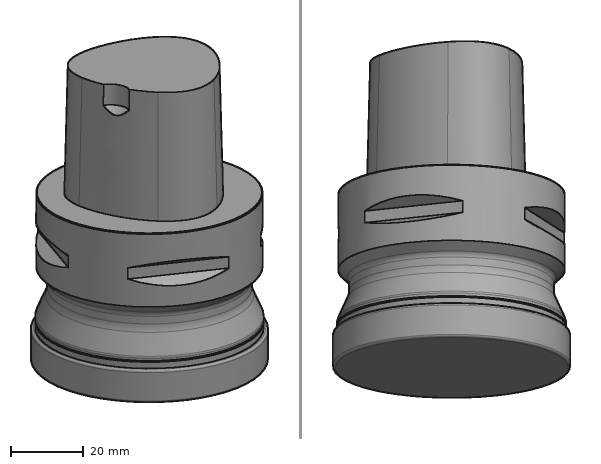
import cadquery as cq
import math

TOTAL_HEIGHT = 88.0
FLANGE_TOP_Z = 50.0

RING_RADIUS = 33.0
RING_HEIGHT = 9.9
RING_FILLET = 0.7

FLANGE_RADIUS = 63.0 / 2
NECK_RADIUS = 57.0 / 2
COLLAR_RADIUS = 63.6 / 2
FLANGE_EDGE_CHAMFER = 0.3
FLANGE_BOTTOM_Z = 28.1
UPPER_CONE_ANGLE = math.radians(45)
UPPER_NECK_ARC = 2.2
LOWER_NECK_ARC = 5.7
NECK_BOTTOM_Z = 21.9
COLLAR_TOP_Z = 12.9
COLLAR_SHOULDER_ARC = 1.4
GROOVE_TOP_Z = 12.1
GROOVE_WIDTH = 0.31
GROOVE_RADIUS = FLANGE_RADIUS

SHANK_BASE_RADIUS = 22.1
SHANK_TAPER = 1 / 40
LOBE_OFFSET = 1.6
LOBE_COUNT = 3
SPLINE_STEPS = 8

NOTCH_RADIUS = 5.4
NOTCH_AXIS_Y = -23.0
NOTCH_DEPTH = 6.2

SLOT_COUNT = 4
SLOT_FIRST_ANGLE = 45
SLOT_Z = 37.8
SLOT_FLOOR_DISTANCE = 27.9
SLOT_FLOOR_HALF_HEIGHT = 1.7
SLOT_WALL_ANGLE = math.radians(30)
SLOT_OVERCUT = 0.9


def make_base_ring():
    ring = cq.Workplane("XY").circle(RING_RADIUS).extrude(RING_HEIGHT)
    return ring.edges().fillet(RING_FILLET)


def arc_point(cylinder_radius, cylinder_end_z, arc_radius, angle, direction):
    """Point on an arc that leaves a cylinder tangentially, after turning by angle.

    A negative arc radius curves in toward the axis and swaps the direction along Z.
    """
    radius = cylinder_radius + arc_radius * (1 - math.cos(angle))
    return radius, cylinder_end_z + direction * arc_radius * math.sin(angle)


def make_turned_body():
    """Flange, waisted neck and grooved collar, turned about Z."""
    upper_cone_start_radius, _ = arc_point(NECK_RADIUS, 0, UPPER_NECK_ARC, UPPER_CONE_ANGLE, 1)
    upper_cone_height = (FLANGE_RADIUS - upper_cone_start_radius) / math.tan(UPPER_CONE_ANGLE)
    neck_top_z = FLANGE_BOTTOM_Z - upper_cone_height - UPPER_NECK_ARC * math.sin(UPPER_CONE_ANGLE)

    centre_rise = NECK_BOTTOM_Z - COLLAR_TOP_Z
    arc_radii = LOWER_NECK_ARC + COLLAR_SHOULDER_ARC
    centre_gap = arc_radii - (COLLAR_RADIUS - NECK_RADIUS)
    centre_line_angle = math.atan2(centre_rise, centre_gap)
    lower_cone_angle = centre_line_angle - math.acos(arc_radii / math.hypot(centre_gap, centre_rise))
    lower_arc_end = arc_point(NECK_RADIUS, NECK_BOTTOM_Z, LOWER_NECK_ARC, lower_cone_angle, -1)
    lower_arc_middle = arc_point(NECK_RADIUS, NECK_BOTTOM_Z, LOWER_NECK_ARC, lower_cone_angle / 2, -1)
    upper_arc_end = arc_point(NECK_RADIUS, neck_top_z, UPPER_NECK_ARC, UPPER_CONE_ANGLE, 1)
    upper_arc_middle = arc_point(NECK_RADIUS, neck_top_z, UPPER_NECK_ARC, UPPER_CONE_ANGLE / 2, 1)
    shoulder_end = arc_point(COLLAR_RADIUS, COLLAR_TOP_Z, -COLLAR_SHOULDER_ARC, lower_cone_angle, -1)
    shoulder_middle = arc_point(COLLAR_RADIUS, COLLAR_TOP_Z, -COLLAR_SHOULDER_ARC, lower_cone_angle / 2, -1)
    groove_bottom_z = GROOVE_TOP_Z - GROOVE_WIDTH

    profile = (
        cq.Workplane("XZ")
        .moveTo(0, RING_HEIGHT)
        .lineTo(COLLAR_RADIUS, RING_HEIGHT)
        .lineTo(COLLAR_RADIUS, groove_bottom_z)
        .lineTo(GROOVE_RADIUS, groove_bottom_z)
        .lineTo(GROOVE_RADIUS, GROOVE_TOP_Z)
        .lineTo(COLLAR_RADIUS, GROOVE_TOP_Z)
        .lineTo(COLLAR_RADIUS, COLLAR_TOP_Z)
        .threePointArc(shoulder_middle, shoulder_end)
        .lineTo(*lower_arc_end)
        .threePointArc(lower_arc_middle, (NECK_RADIUS, NECK_BOTTOM_Z))
        .lineTo(NECK_RADIUS, neck_top_z)
        .threePointArc(upper_arc_middle, upper_arc_end)
        .lineTo(FLANGE_RADIUS, FLANGE_BOTTOM_Z)
        .lineTo(FLANGE_RADIUS, FLANGE_TOP_Z - FLANGE_EDGE_CHAMFER)
        .lineTo(FLANGE_RADIUS - FLANGE_EDGE_CHAMFER, FLANGE_TOP_Z)
        .lineTo(0, FLANGE_TOP_Z)
        .close()
    )
    return profile.revolve(360, (0, 0, 0), (0, 1, 0))


def make_slot_cutter():
    """Bar with a flaring section, long enough to run out through the flange, at +X."""
    outer_distance = FLANGE_RADIUS + SLOT_OVERCUT
    outer_half_height = SLOT_FLOOR_HALF_HEIGHT + (
        outer_distance - SLOT_FLOOR_DISTANCE
    ) * math.tan(SLOT_WALL_ANGLE)
    return (
        cq.Workplane("XZ")
        .polyline([
            (SLOT_FLOOR_DISTANCE, SLOT_Z - SLOT_FLOOR_HALF_HEIGHT),
            (outer_distance, SLOT_Z - outer_half_height),
            (outer_distance, SLOT_Z + outer_half_height),
            (SLOT_FLOOR_DISTANCE, SLOT_Z + SLOT_FLOOR_HALF_HEIGHT),
        ])
        .close()
        .extrude(FLANGE_RADIUS, both=True)
    )


def make_shank_section(z):
    """Closed three-lobed curve at height z, made of alternating lobe and flank pieces."""
    radius = SHANK_BASE_RADIUS - SHANK_TAPER * (z - FLANGE_TOP_Z)
    piece_count = 2 * LOBE_COUNT
    piece_angle = 2 * math.pi / piece_count

    def trochoid(angle):
        lobe_angle = (LOBE_COUNT - 1) * angle
        x = -radius * math.sin(angle) + LOBE_OFFSET * math.sin(lobe_angle)
        y = radius * math.cos(angle) + LOBE_OFFSET * math.cos(lobe_angle)
        return cq.Vector(x, y, z)

    pieces = []
    for index in range(piece_count):
        start = (index - 0.5) * piece_angle
        points = [trochoid(start + piece_angle * step / SPLINE_STEPS) for step in range(SPLINE_STEPS + 1)]
        pieces.append(cq.Edge.makeSpline(points))
    return cq.Wire.assembleEdges(pieces)


def make_shank():
    sections = [make_shank_section(FLANGE_TOP_Z), make_shank_section(TOTAL_HEIGHT)]
    return cq.Workplane(cq.Solid.makeLoft(sections, True))


def make_notch_cutter():
    """Round drill shape with a 90 degree point, parallel to Z."""
    shoulder_z = TOTAL_HEIGHT - NOTCH_DEPTH
    return (
        cq.Workplane("XZ", origin=(0, NOTCH_AXIS_Y, 0))
        .polyline([
            (0, shoulder_z - NOTCH_RADIUS),
            (NOTCH_RADIUS, shoulder_z),
            (NOTCH_RADIUS, TOTAL_HEIGHT),
            (0, TOTAL_HEIGHT),
        ])
        .close()
        .revolve(360, (0, 0, 0), (0, 1, 0))
    )


def make_holder():
    holder = make_turned_body()
    slot = make_slot_cutter()
    for index in range(SLOT_COUNT):
        angle = SLOT_FIRST_ANGLE + index * 360 / SLOT_COUNT
        holder = holder.cut(slot.rotate((0, 0, 0), (0, 0, 1), angle))
    shank = make_shank().cut(make_notch_cutter())
    return holder.union(shank)


base_ring = make_base_ring()
holder = make_holder()

result = cq.Compound.makeCompound([base_ring.val(), holder.val()])